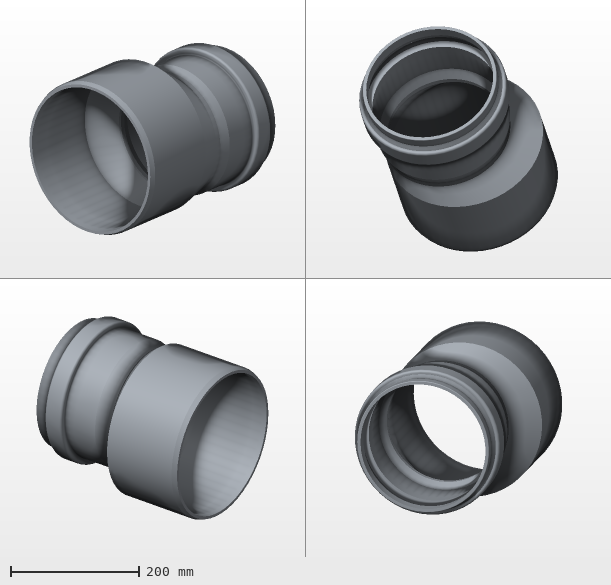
import cadquery as cq

LENGTH = 299.0

SPIGOT_OUTER = 250.3
SPIGOT_BORE = 234.5
SPIGOT_END = 132.5
SPIGOT_TIP_OUTER = 244.0
SPIGOT_TIP_LENGTH = 8.5

NECK_OUTER = 203.5
NECK_BORE = 185.5
NECK_START = 159.7
NECK_END = 169.0

SOCKET_OUTER = 213.2
SOCKET_WALL = 5.7
SOCKET_START = 186.0
BEAD_OUTER = 234.7
BEAD_START = 242.8
BEAD_END = 275.0
BEAD_ROUND = 4.0
BEAD_ROOT_ROUND = 2.0
BEAD_CONE_OUTER = 222.5
BEAD_CONE_END = 281.7
RIM_ROUND = 1.2

INNER_CONE_START = 130.0
THROAT_DIAMETER = 187.8
THROAT_START = 158.5
THROAT_END = 161.0
THROAT_SHIFT = 0.5

OFFSET = (SPIGOT_OUTER - NECK_OUTER) / 2


def revolve_about_y(profile, axis_x):
    """Revolve a (radius, y) profile about the line x = axis_x parallel to Y."""
    return profile.close().revolve(360, (0, 0, 0), (0, 1, 0)).translate((axis_x, 0, 0))


def cylinder(diameter, y_start, y_end, axis_x):
    """Cylinder along Y."""
    solid = cq.Solid.makeCylinder(
        diameter / 2, y_end - y_start, cq.Vector(axis_x, y_start, 0), cq.Vector(0, 1, 0)
    )
    return cq.Workplane(obj=solid)


def eccentric_cone(start, end):
    """Slanted cone between two circles, each given as (diameter, axis x, y)."""
    along_y = cq.Vector(0, 1, 0)
    wires = [
        cq.Wire.makeCircle(diameter / 2, cq.Vector(axis_x, y, 0), along_y)
        for diameter, axis_x, y in (start, end)
    ]
    return cq.Workplane(obj=cq.Solid.makeLoft(wires, True))


def spigot_body():
    """Solid spigot with a tapered tip."""
    profile = (
        cq.Workplane("XY")
        .lineTo(SPIGOT_TIP_OUTER / 2, 0)
        .lineTo(SPIGOT_OUTER / 2, SPIGOT_TIP_LENGTH)
        .lineTo(SPIGOT_OUTER / 2, SPIGOT_END)
        .lineTo(0, SPIGOT_END)
    )
    return revolve_about_y(profile, 0)


def socket_body():
    """Solid neck, flare, socket and rounded seal bead."""
    socket_radius = SOCKET_OUTER / 2
    bead_radius = BEAD_OUTER / 2
    profile = (
        cq.Workplane("XY")
        .moveTo(0, NECK_START)
        .lineTo(NECK_OUTER / 2, NECK_START)
        .lineTo(NECK_OUTER / 2, NECK_END)
        .lineTo(socket_radius, SOCKET_START)
        .lineTo(socket_radius, BEAD_START - BEAD_ROOT_ROUND)
        .radiusArc((socket_radius + BEAD_ROOT_ROUND, BEAD_START), BEAD_ROOT_ROUND)
        .lineTo(bead_radius - BEAD_ROUND, BEAD_START)
        .radiusArc((bead_radius, BEAD_START + BEAD_ROUND), -BEAD_ROUND)
        .lineTo(bead_radius, BEAD_END - BEAD_ROUND)
        .radiusArc((bead_radius - BEAD_ROUND, BEAD_END), -BEAD_ROUND)
        .lineTo(BEAD_CONE_OUTER / 2, BEAD_END)
        .lineTo(socket_radius, BEAD_CONE_END)
        .lineTo(socket_radius, LENGTH - RIM_ROUND)
        .radiusArc((socket_radius - RIM_ROUND, LENGTH), -RIM_ROUND)
        .lineTo(0, LENGTH)
    )
    return revolve_about_y(profile, OFFSET)


def socket_cavity():
    """Neck bore, flare, socket bore and the seal groove inside the bead."""
    bore_radius = SOCKET_OUTER / 2 - SOCKET_WALL
    groove_radius = BEAD_OUTER / 2 - SOCKET_WALL
    profile = (
        cq.Workplane("XY")
        .moveTo(0, THROAT_END)
        .lineTo(NECK_BORE / 2, THROAT_END)
        .lineTo(NECK_BORE / 2, NECK_END)
        .lineTo(bore_radius, SOCKET_START)
        .lineTo(bore_radius, BEAD_START + SOCKET_WALL)
        .lineTo(groove_radius, BEAD_START + SOCKET_WALL)
        .lineTo(groove_radius, BEAD_END - SOCKET_WALL)
        .lineTo(BEAD_CONE_OUTER / 2 - SOCKET_WALL, BEAD_END - SOCKET_WALL)
        .lineTo(bore_radius, BEAD_CONE_END)
        .lineTo(bore_radius, LENGTH)
        .lineTo(0, LENGTH)
    )
    return revolve_about_y(profile, OFFSET)


outer_cone = eccentric_cone((SPIGOT_OUTER, 0, SPIGOT_END), (NECK_OUTER, OFFSET, NECK_START))
outside = spigot_body().union(outer_cone).union(socket_body())

throat = (THROAT_DIAMETER, OFFSET - THROAT_SHIFT, THROAT_START)
spigot_cavity = cylinder(SPIGOT_BORE, 0, INNER_CONE_START, 0)
cone_cavity = eccentric_cone((SPIGOT_BORE, 0, INNER_CONE_START), throat)
throat_cavity = eccentric_cone(throat, (NECK_BORE, OFFSET, THROAT_END))

result = outside.cut(spigot_cavity).cut(cone_cavity).cut(throat_cavity).cut(socket_cavity())